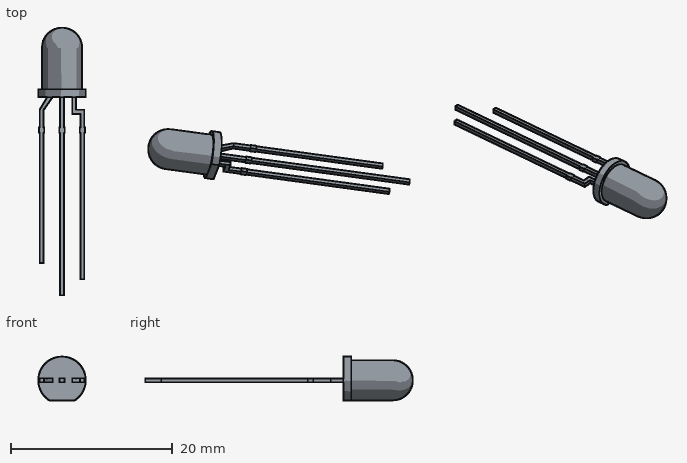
import cadquery as cq
import math

housing_height = 8.6
lens_diameter = 5.0
lens_radius = lens_diameter / 2
flange_radius = 2.95
flange_height = 1.0
flat_depth = 2.5
dome_start = housing_height - lens_radius

lead_width = 0.5
lead_half_width = lead_width / 2
lead_pitch = 2.5
left_lead_length = 20.5
middle_lead_length = 33.1 - housing_height
right_lead_length = 22.5

shoulder_width = 0.7
shoulder_length = 0.7
shoulder_top = -3.7

slant_outer_root = -1.85
slant_inner_root = -1.15
slant_outer_bend = -1.52
slant_inner_bend = -1.6

jog_root_x = 1.5
jog_top = -1.52
jog_bottom = -2.1


def make_housing():
    """Revolve the lens and flange about Y, then cut the flat on the -Z side."""
    dome_mid_offset = lens_radius * math.sin(math.radians(45))
    body = (
        cq.Workplane("XY")
        .lineTo(flange_radius, 0)
        .lineTo(flange_radius, flange_height)
        .lineTo(lens_radius, flange_height)
        .lineTo(lens_radius, dome_start)
        .threePointArc((dome_mid_offset, dome_start + dome_mid_offset), (0, housing_height))
        .close()
        .revolve(360, (0, 0), (0, 1))
    )
    flat_cutter = (
        cq.Workplane("XY")
        .box(2 * flange_radius, flange_height, flange_radius, centered=(True, False, False))
        .translate((0, 0, -flat_depth - flange_radius))
    )
    return body.cut(flat_cutter)


def make_lead(center_x, outline):
    """Extrude a lead outline and add its shoulder."""
    strip = cq.Workplane("XY").polyline(outline).close().extrude(lead_half_width, both=True)
    shoulder = (
        cq.Workplane("XY")
        .box(shoulder_width, shoulder_length, lead_width)
        .translate((center_x, shoulder_top - shoulder_length / 2, 0))
    )
    return strip.union(shoulder)


def make_left_lead():
    """Lead that slants inwards to the housing."""
    outer_x = -lead_pitch - lead_half_width
    inner_x = -lead_pitch + lead_half_width
    return make_lead(-lead_pitch, [
        (slant_outer_root, 0),
        (slant_inner_root, 0),
        (inner_x, slant_inner_bend),
        (inner_x, -left_lead_length),
        (outer_x, -left_lead_length),
        (outer_x, slant_outer_bend),
    ])


def make_middle_lead():
    """Straight lead, the longest of the three."""
    return make_lead(0, [
        (-lead_half_width, 0),
        (lead_half_width, 0),
        (lead_half_width, -middle_lead_length),
        (-lead_half_width, -middle_lead_length),
    ])


def make_right_lead():
    """Lead with a square jog towards the housing axis."""
    outer_x = lead_pitch + lead_half_width
    inner_x = lead_pitch - lead_half_width
    return make_lead(lead_pitch, [
        (jog_root_x - lead_half_width, 0),
        (jog_root_x + lead_half_width, 0),
        (jog_root_x + lead_half_width, jog_top),
        (outer_x, jog_top),
        (outer_x, -right_lead_length),
        (inner_x, -right_lead_length),
        (inner_x, jog_bottom),
        (jog_root_x - lead_half_width, jog_bottom),
    ])


housing = make_housing()
left_lead = make_left_lead()
middle_lead = make_middle_lead()
right_lead = make_right_lead()

result = cq.Compound.makeCompound([
    housing.val(),
    left_lead.val(),
    middle_lead.val(),
    right_lead.val(),
])